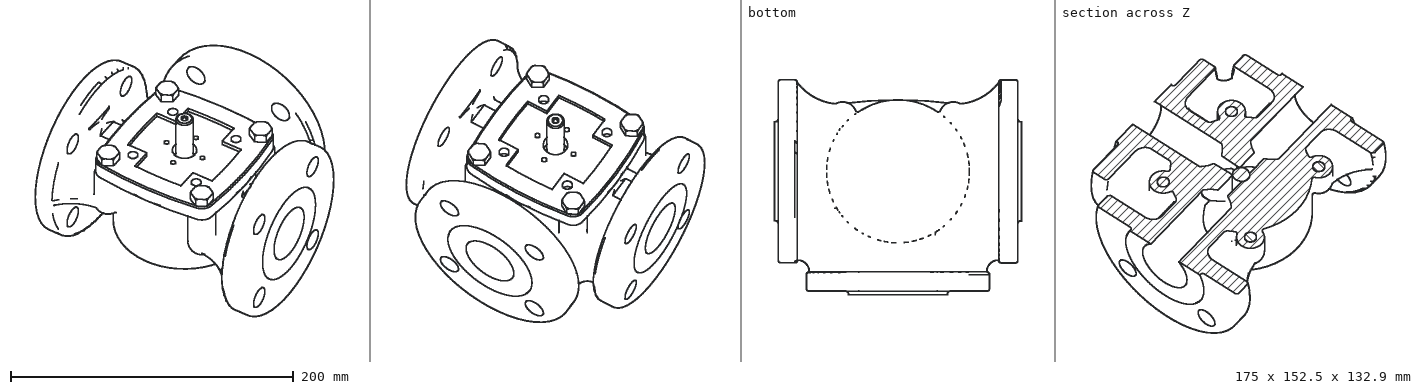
import cadquery as cq
import math

PORT_REACH = 87.5
PORT_ANGLES = (0, 90, 180)
BORE_RADIUS = 20.0

FLANGE_RADIUS = 65.0
FLANGE_THICKNESS = 13.6
FLANGE_ROUND = 2.0
RAISED_FACE_RADIUS = 35.2
RAISED_FACE_HEIGHT = 2.6
RAISED_FACE_ROUND = 1.8
BOLT_CIRCLE_RADIUS = 50.0
FLANGE_HOLE_DIAMETER = 15.0
NECK_RADIUS = 26.8
NECK_ROUND = 7.7
FLANGE_FRONT = PORT_REACH - RAISED_FACE_HEIGHT
FLANGE_BACK = FLANGE_FRONT - FLANGE_THICKNESS

FLAT_HEIGHT = 25.4
FLAT_START = 53.2
FLAT_END = 65.0

BARREL_RADIUS = 50.5
BARREL_BOTTOM = -31.7
BARREL_TOP = 28.2
BLANK_TOP = BARREL_TOP + 7.0
BARREL_BOTTOM_ROUND = 1.4
BARREL_NECK_ROUND = 2.6

THROAT_HALF_HEIGHT = 15.8
THROAT_ARC_RADIUS = 36.8
THROAT_REACH = 21.0
TAPER_END = 35.0

WEB_THICKNESS = 8.0
WEB_EDGE_ROUND = 2.1
WEB_CORNER_RADIUS = 8.4
WEB_TIP_REACH = 63.5
WEB_WING_MIDDLE = (56.2, -51.0)
WEB_WING_ROOT = (43.8, -47.8)
WEB_INNER_CORNER = 35.0
FOOT_ROUND = 1.5
WEB_OVERLAP = 0.5

BOLT_OFFSET = 39.2
BOSS_RADIUS = 10.0
BOSS_TOP = 26.6
BOSS_TOP_ROUND = 1.2
PAD_RADIUS = 5.8
HEAD_ACROSS_FLATS = 14.2
HEAD_HEIGHT = 6.5
HEAD_CHAMFER = 0.7
SHANK_RADIUS = 4.0
SHANK_BOTTOM = 10.5

COVER_THICKNESS = 11.9
COVER_CORNER_RADIUS = 8.8
COVER_HALF_WIDTH = 50.5
COVER_CHAMFER = 1.0
COVER_TOP = BARREL_TOP + COVER_THICKNESS
SIDE_BOW_RADIUS = (
    BOLT_OFFSET**2 + (COVER_HALF_WIDTH - BOLT_OFFSET) ** 2 - COVER_CORNER_RADIUS**2
) / (2 * (COVER_HALF_WIDTH - BOLT_OFFSET - COVER_CORNER_RADIUS))
RECESS_DEPTH = 3.0
RECESS_FLOOR = COVER_TOP - RECESS_DEPTH
RECESS_ARM_HALF_WIDTH = 19.2
RECESS_MARGIN = 14.7
SHAFT_CLEARANCE_RADIUS = 8.5
MOUNTING_HOLE_OFFSET = 26.5
MOUNTING_HOLE_DIAMETER = 7.0
MOUNTING_HOLE_DEPTH = 7.0
PILOT_CIRCLE_RADIUS = 15.0
PILOT_HOLE_DIAMETER = 3.5
PILOT_HOLE_DEPTH = 5.2

SHAFT_RADIUS = 6.1
SHAFT_TOP = 67.9
SHAFT_BOTTOM = -THROAT_HALF_HEIGHT
SHAFT_CHAMFER = 1.0
CENTER_HOLE_DIAMETER = 3.2
CENTER_SINK_DIAMETER = 4.9
CENTER_SINK_ANGLE = 90
CENTER_HOLE_DEPTH = 7.0

DIAGONAL = math.sqrt(0.5)
MARGIN = 0.2
BOLT_PLACES = [(sx * BOLT_OFFSET, sy * BOLT_OFFSET) for sx in (-1, 1) for sy in (-1, 1)]


def cylinder(radius, bottom, top, x=0, y=0):
    return cq.Workplane("XY", origin=(x, y, bottom)).circle(radius).extrude(top - bottom)


def around_z(shape, angle):
    return shape.rotate((0, 0, 0), (0, 0, 1), angle)


def port_solid():
    """Neck, flange and raised face of the +X port, turned about X."""
    round_start = FLANGE_BACK - NECK_ROUND
    neck_top = NECK_RADIUS + NECK_ROUND
    raised_foot = RAISED_FACE_RADIUS + RAISED_FACE_ROUND
    outline = (
        cq.Workplane("XY")
        .lineTo(0, NECK_RADIUS)
        .lineTo(round_start, NECK_RADIUS)
        .threePointArc(
            (round_start + NECK_ROUND * DIAGONAL, neck_top - NECK_ROUND * DIAGONAL),
            (FLANGE_BACK, neck_top),
        )
        .lineTo(FLANGE_BACK, FLANGE_RADIUS)
        .lineTo(FLANGE_FRONT, FLANGE_RADIUS)
        .lineTo(FLANGE_FRONT, raised_foot)
        .threePointArc(
            (
                FLANGE_FRONT + RAISED_FACE_ROUND * (1 - DIAGONAL),
                raised_foot - RAISED_FACE_ROUND * DIAGONAL,
            ),
            (FLANGE_FRONT + RAISED_FACE_ROUND, RAISED_FACE_RADIUS),
        )
        .lineTo(PORT_REACH, RAISED_FACE_RADIUS)
        .lineTo(PORT_REACH, 0)
        .close()
    )
    port = outline.revolve(360, (0, 0, 0), (1, 0, 0))
    rims = cq.selectors.RadiusNthSelector(-1)
    return port.edges("%CIRCLE").edges(rims).fillet(FLANGE_ROUND)


def web_plate():
    """One plate whose visible parts are the webs in the corners between barrel and flanges."""
    reach = FLANGE_BACK + WEB_OVERLAP
    half = WEB_THICKNESS / 2
    inside_barrel = WEB_INNER_CORNER
    wing_tip = (reach, -WEB_TIP_REACH)

    def mirrored(point):
        return (-point[0], point[1])

    plate = (
        cq.Workplane("XY", origin=(0, 0, -half))
        .moveTo(-reach, reach)
        .lineTo(reach, reach)
        .lineTo(*wing_tip)
        .threePointArc(WEB_WING_MIDDLE, WEB_WING_ROOT)
        .lineTo(inside_barrel, -inside_barrel)
        .lineTo(-inside_barrel, -inside_barrel)
        .lineTo(*mirrored(WEB_WING_ROOT))
        .threePointArc(mirrored(WEB_WING_MIDDLE), mirrored(wing_tip))
        .close()
        .extrude(WEB_THICKNESS)
    )
    for side in (-1, 1):
        plate = plate.cut(cylinder(WEB_CORNER_RADIUS, -half, half, side * FLANGE_BACK, FLANGE_BACK))
    return plate.edges("%CIRCLE").fillet(WEB_EDGE_ROUND)


def boss(x, y):
    """Bolt boss with a domed foot, left as tall as the unfinished barrel."""
    blank = cylinder(BOSS_RADIUS, 0, BLANK_TOP).union(cq.Workplane("XY").sphere(BOSS_RADIUS))
    toward_shaft = math.degrees(math.atan2(-y, -x))
    return around_z(blank, toward_shaft).translate((x, y, 0))


def boss_trimmer():
    """Ring that cuts a boss down to a rounded top around the pad that carries the cover."""
    shoulder = BOSS_TOP - BOSS_TOP_ROUND
    round_start = BOSS_RADIUS - BOSS_TOP_ROUND
    outside = BOSS_RADIUS + 2 * FOOT_ROUND
    return (
        cq.Workplane("XZ")
        .moveTo(PAD_RADIUS, BLANK_TOP)
        .lineTo(PAD_RADIUS, BOSS_TOP)
        .lineTo(round_start, BOSS_TOP)
        .threePointArc(
            (round_start + BOSS_TOP_ROUND * DIAGONAL, shoulder + BOSS_TOP_ROUND * DIAGONAL),
            (BOSS_RADIUS, shoulder),
        )
        .lineTo(outside, shoulder)
        .lineTo(outside, BLANK_TOP)
        .close()
        .revolve(360, (0, 0, 0), (0, 1, 0))
    )


def neck_flat():
    """Cutter with sloped ends for the flat on top of the +X neck."""
    rise = NECK_ROUND
    return (
        cq.Workplane("XZ")
        .moveTo(FLAT_START, FLAT_HEIGHT)
        .lineTo(FLAT_END, FLAT_HEIGHT)
        .lineTo(FLAT_END + rise, FLAT_HEIGHT + rise)
        .lineTo(FLAT_START - rise, FLAT_HEIGHT + rise)
        .close()
        .extrude(NECK_RADIUS / 2, both=True)
        .cut(cylinder(BARREL_RADIUS, 0, PORT_REACH))
    )


def throat_waist():
    """Turned shape that narrows toward the shaft; its lowered axis makes it the throat's ceiling."""
    axis_height = THROAT_HALF_HEIGHT - THROAT_ARC_RADIUS
    return (
        cq.Workplane("XZ", origin=(0, 0, axis_height))
        .lineTo(0, THROAT_ARC_RADIUS)
        .lineTo(THROAT_REACH, THROAT_ARC_RADIUS)
        .lineTo(TAPER_END, THROAT_ARC_RADIUS + BORE_RADIUS - THROAT_HALF_HEIGHT)
        .lineTo(TAPER_END, 0)
        .close()
        .revolve(360, (0, 0, 0), (1, 0, 0))
    )


def port_cavity():
    """Bore of the +X port, narrowed above and below to a lens-shaped throat."""
    bore = cq.Workplane("YZ").circle(BORE_RADIUS).extrude(PORT_REACH)
    outer_bore = cq.Workplane("YZ", origin=(TAPER_END, 0, 0)).circle(BORE_RADIUS).extrude(PORT_REACH)
    ceiling = throat_waist()
    return bore.intersect(ceiling).intersect(ceiling.mirror("XY")).union(outer_bore)


def flange_holes():
    """Four through holes, on the diagonals of the +X flange."""
    return (
        cq.Workplane("YZ", origin=(FLANGE_BACK - NECK_ROUND, 0, 0))
        .polarArray(BOLT_CIRCLE_RADIUS, 45, 360, 4)
        .circle(FLANGE_HOLE_DIAMETER / 2)
        .extrude(PORT_REACH)
    )


def box_edges(solid, low, high):
    """Edges of a solid that lie wholly inside a box."""
    return solid.edges(cq.selectors.BoxSelector(low, high, boundingbox=True))


def barrel_with_ports():
    """Barrel, still too tall, blended into the three necks."""
    blank = cylinder(BARREL_RADIUS, BARREL_BOTTOM, BLANK_TOP)
    for angle in PORT_ANGLES:
        blank = blank.union(around_z(port_solid(), angle))
    blend_height = NECK_RADIUS - MARGIN
    blend_zone = cq.selectors.BoxSelector(
        (-BARREL_RADIUS, -BARREL_RADIUS, -blend_height),
        (BARREL_RADIUS, BARREL_RADIUS, blend_height),
    )
    blank = blank.edges(blend_zone).edges("not(%LINE or %CIRCLE)").fillet(BARREL_NECK_ROUND)
    rim_reach = BARREL_RADIUS + MARGIN
    bottom_rim = box_edges(
        blank,
        (-rim_reach, -rim_reach, BARREL_BOTTOM - MARGIN),
        (rim_reach, rim_reach, BARREL_BOTTOM + MARGIN),
    )
    return bottom_rim.fillet(BARREL_BOTTOM_ROUND)


def add_webs(housing):
    """Webs, with a round along their feet on the necks and flanges."""
    housing = housing.union(web_plate())
    start = WEB_WING_ROOT[0] + MARGIN
    end = FLANGE_BACK + MARGIN
    half_width = WEB_TIP_REACH + MARGIN
    half_height = WEB_THICKNESS / 2 + MARGIN
    port_boxes = [
        ((start, -half_width, -half_height), (end, half_width, half_height)),
        ((-end, -half_width, -half_height), (-start, half_width, half_height)),
        ((-half_width, start, -half_height), (half_width, end, half_height)),
    ]
    feet = []
    for low, high in port_boxes:
        feet += box_edges(housing, low, high).vals()
    return housing.newObject(feet).fillet(FOOT_ROUND)


def add_bosses(housing):
    """Bolt bosses, rounded into barrel and webs, then cut down to their own height."""
    for x, y in BOLT_PLACES:
        housing = housing.union(boss(x, y))
    reach = BOSS_RADIUS + MARGIN
    feet = []
    for x, y in BOLT_PLACES:
        for bottom, top in ((-reach, -MARGIN), (MARGIN, BARREL_TOP)):
            feet += box_edges(
                housing, (x - reach, y - reach, bottom), (x + reach, y + reach, top)
            ).vals()
    housing = housing.newObject(feet).fillet(FOOT_ROUND)
    barrel_core = cylinder(BARREL_RADIUS, 0, BLANK_TOP)
    for x, y in BOLT_PLACES:
        housing = housing.cut(boss_trimmer().translate((x, y, 0)).cut(barrel_core))
    return housing.cut(cylinder(FLANGE_BACK - NECK_ROUND, BARREL_TOP, BLANK_TOP))


def make_housing():
    housing = add_bosses(add_webs(barrel_with_ports()))
    for angle in PORT_ANGLES:
        housing = housing.cut(around_z(port_cavity(), angle))
        housing = housing.cut(around_z(flange_holes(), angle))
    for angle in (0, 180):
        housing = housing.cut(around_z(neck_flat(), angle))
    for x, y in BOLT_PLACES:
        housing = housing.cut(cylinder(SHANK_RADIUS, SHANK_BOTTOM, BARREL_TOP, x, y))
    return housing.cut(cylinder(SHAFT_RADIUS, SHAFT_BOTTOM, BARREL_TOP))


def cover_plate():
    """Square plate with round corners, and sides bowed tangent to them."""
    corner_to_side = COVER_HALF_WIDTH - BOLT_OFFSET
    blend = SIDE_BOW_RADIUS - COVER_CORNER_RADIUS
    across = BOLT_OFFSET / blend
    along = (SIDE_BOW_RADIUS - corner_to_side) / blend
    near = BOLT_OFFSET + COVER_CORNER_RADIUS * across
    far = BOLT_OFFSET + COVER_CORNER_RADIUS * along
    corner = BOLT_OFFSET + COVER_CORNER_RADIUS * DIAGONAL

    def turned(x, y, quarter):
        return [(x, y), (-y, x), (-x, -y), (y, -x)][quarter]

    outline = cq.Workplane("XY", origin=(0, 0, BARREL_TOP)).moveTo(far, -near)
    for quarter in range(4):
        side_middle = turned(COVER_HALF_WIDTH, 0, quarter)
        outline = outline.threePointArc(side_middle, turned(far, near, quarter))
        corner_middle = turned(corner, corner, quarter)
        outline = outline.threePointArc(corner_middle, turned(near, far, quarter))
    plate = outline.close().extrude(COVER_THICKNESS)
    return plate.faces(">Z").edges().chamfer(COVER_CHAMFER)


def recess_arm():
    """One bar of the cross-shaped recess, its ends parallel to the bowed sides."""
    end = COVER_HALF_WIDTH - RECESS_MARGIN
    end_radius = SIDE_BOW_RADIUS - RECESS_MARGIN
    half = RECESS_ARM_HALF_WIDTH
    shoulder = end - (end_radius - math.sqrt(end_radius**2 - half**2))
    return (
        cq.Workplane("XY", origin=(0, 0, RECESS_FLOOR))
        .moveTo(-half, -shoulder)
        .threePointArc((0, -end), (half, -shoulder))
        .lineTo(half, shoulder)
        .threePointArc((0, end), (-half, shoulder))
        .close()
        .extrude(RECESS_DEPTH)
    )


def make_cover():
    mounting_holes = (
        cq.Workplane("XY", origin=(0, 0, COVER_TOP - MOUNTING_HOLE_DEPTH))
        .rect(2 * MOUNTING_HOLE_OFFSET, 2 * MOUNTING_HOLE_OFFSET, forConstruction=True)
        .vertices()
        .circle(MOUNTING_HOLE_DIAMETER / 2)
        .extrude(MOUNTING_HOLE_DEPTH)
    )
    pilot_holes = (
        cq.Workplane("XY", origin=(0, 0, RECESS_FLOOR - PILOT_HOLE_DEPTH))
        .polarArray(PILOT_CIRCLE_RADIUS, 0, 360, 4)
        .circle(PILOT_HOLE_DIAMETER / 2)
        .extrude(PILOT_HOLE_DEPTH)
    )
    cover = cover_plate().cut(recess_arm()).cut(around_z(recess_arm(), 90))
    cover = cover.cut(cylinder(SHAFT_CLEARANCE_RADIUS, BARREL_TOP, COVER_TOP))
    cover = cover.cut(mounting_holes).cut(pilot_holes)
    for x, y in BOLT_PLACES:
        cover = cover.cut(cylinder(SHANK_RADIUS, BARREL_TOP, COVER_TOP, x, y))
    return cover


def make_bolt(x, y):
    corner_diameter = HEAD_ACROSS_FLATS / math.cos(math.pi / 6)
    head = (
        cq.Workplane("XY", origin=(x, y, COVER_TOP))
        .transformed(rotate=(0, 0, 90))
        .polygon(6, corner_diameter)
        .extrude(HEAD_HEIGHT)
    )
    rounding = (
        cylinder(corner_diameter / 2, COVER_TOP, COVER_TOP + HEAD_HEIGHT, x, y)
        .faces(">Z")
        .edges()
        .chamfer(HEAD_CHAMFER)
    )
    return head.intersect(rounding).union(cylinder(SHANK_RADIUS, SHANK_BOTTOM, COVER_TOP, x, y))


def make_shaft():
    shaft = cylinder(SHAFT_RADIUS, SHAFT_BOTTOM, SHAFT_TOP).faces(">Z").edges().chamfer(SHAFT_CHAMFER)
    return (
        shaft.faces(">Z")
        .workplane(centerOption="CenterOfBoundBox")
        .cskHole(CENTER_HOLE_DIAMETER, CENTER_SINK_DIAMETER, CENTER_SINK_ANGLE, CENTER_HOLE_DEPTH)
    )


housing = make_housing()
cover = make_cover()
shaft = make_shaft()
bolts = [make_bolt(x, y) for x, y in BOLT_PLACES]

result = cq.Compound.makeCompound(
    [housing.val(), cover.val(), shaft.val(), *[bolt.val() for bolt in bolts]]
)